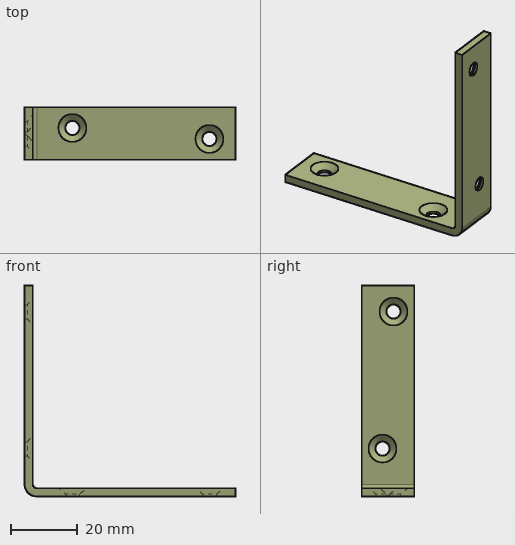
import cadquery as cq

leg_length = 63.5
width = 15.9
thickness = 2.55
inner_bend_radius = 1.15
outer_bend_radius = inner_bend_radius + thickness

hole_diameter = 4.2
countersink_diameter = 8.4
countersink_angle = 100.0
near_hole_distance = 14.4
far_hole_distance = 55.6
hole_stagger = 1.65


def bent_strip():
    """L-shaped strip with concentric inner and outer bend radii."""
    profile = (
        cq.Workplane("XZ")
        .moveTo(0, 0)
        .lineTo(leg_length, 0)
        .lineTo(leg_length, thickness)
        .lineTo(thickness, thickness)
        .lineTo(thickness, leg_length)
        .lineTo(0, leg_length)
        .close()
    )
    strip = profile.extrude(width / 2, both=True)
    strip = strip.edges(cq.NearestToPointSelector((0, 0, 0))).fillet(outer_bend_radius)
    inner_corner = (thickness, 0, thickness)
    return strip.edges(cq.NearestToPointSelector(inner_corner)).fillet(inner_bend_radius)


def drill_countersunk(body, face_plane, centers):
    """Drill through one leg, countersinking from its inner face."""
    return (
        body.copyWorkplane(cq.Workplane(face_plane))
        .pushPoints(centers)
        .cskHole(hole_diameter, countersink_diameter, countersink_angle, depth=2 * thickness)
    )


base_face = cq.Plane(origin=(0, 0, thickness), xDir=(1, 0, 0), normal=(0, 0, 1))
upright_face = cq.Plane(origin=(thickness, 0, 0), xDir=(0, 1, 0), normal=(1, 0, 0))

base_holes = [(near_hole_distance, hole_stagger), (far_hole_distance, -hole_stagger)]
upright_holes = [(-hole_stagger, near_hole_distance), (hole_stagger, far_hole_distance)]

result = bent_strip()
result = drill_countersunk(result, base_face, base_holes)
result = drill_countersunk(result, upright_face, upright_holes)